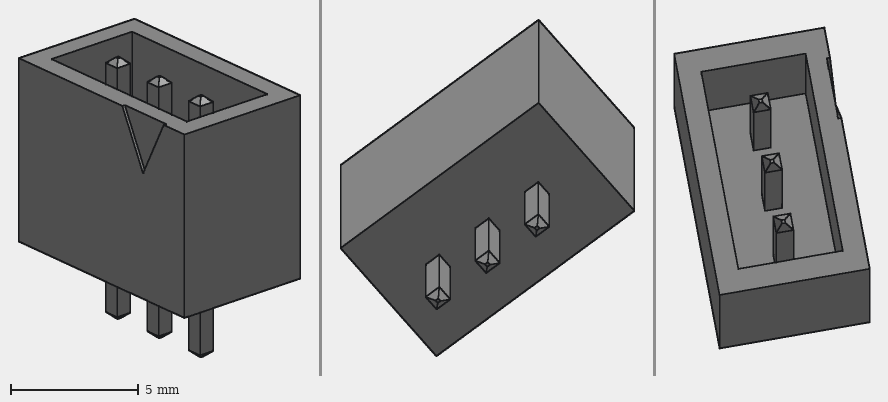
import cadquery as cq

housing_length = 10.0
housing_width = 6.0
housing_height = 7.85
wall = 0.915
floor_thickness = 2.0

mark_width = 2.5
mark_height = 2.48
mark_depth = 0.13

pin_count = 3
pin_pitch = 2.5
pin_size = 0.69
pin_tip_size = 0.14
pin_tip_height = 0.25
pin_below_housing = 3.3
pin_top = housing_height
pin_bottom = -pin_below_housing

first_pin_x = -pin_pitch * (pin_count - 1) / 2
pin_positions = [first_pin_x + index * pin_pitch for index in range(pin_count)]
mark_x = pin_positions[-1]


def make_pin(x):
    """Square pin at x, running through the floor, tapered at both ends."""
    shank = (
        cq.Workplane("XY", origin=(x, 0, pin_bottom + pin_tip_height))
        .rect(pin_size, pin_size)
        .extrude(pin_top - pin_bottom - 2 * pin_tip_height)
    )
    upper_tip = make_tip(shank.faces(">Z"), pin_tip_height)
    lower_tip = make_tip(shank.faces("<Z"), pin_tip_height)
    return shank.union(upper_tip).union(lower_tip)


def make_tip(shank_end, height):
    """Blunt pyramid growing outward from one end face of a pin shank."""
    return (
        shank_end.workplane()
        .rect(pin_size, pin_size)
        .workplane(offset=height)
        .rect(pin_tip_size, pin_tip_size)
        .loft(combine=False)
    )


def make_housing():
    """Box with a rectangular cavity, square pin holes and the pin 1 mark."""
    box = cq.Workplane("XY").box(
        housing_length, housing_width, housing_height, centered=(True, True, False)
    )
    cavity = (
        cq.Workplane("XY", origin=(0, 0, floor_thickness))
        .rect(housing_length - 2 * wall, housing_width - 2 * wall)
        .extrude(housing_height - floor_thickness)
    )
    pin_holes = (
        cq.Workplane("XY")
        .pushPoints([(x, 0) for x in pin_positions])
        .rect(pin_size, pin_size)
        .extrude(floor_thickness)
    )
    mark = (
        cq.Workplane("XZ", origin=(mark_x, -housing_width / 2, housing_height))
        .moveTo(-mark_width / 2, 0)
        .lineTo(mark_width / 2, 0)
        .lineTo(0, -mark_height)
        .close()
        .extrude(-mark_depth)
    )
    return box.cut(cavity).cut(pin_holes).cut(mark)


housing = make_housing()
pins = [make_pin(x) for x in pin_positions]

result = cq.Compound.makeCompound([housing.val(), *[pin.val() for pin in pins]])